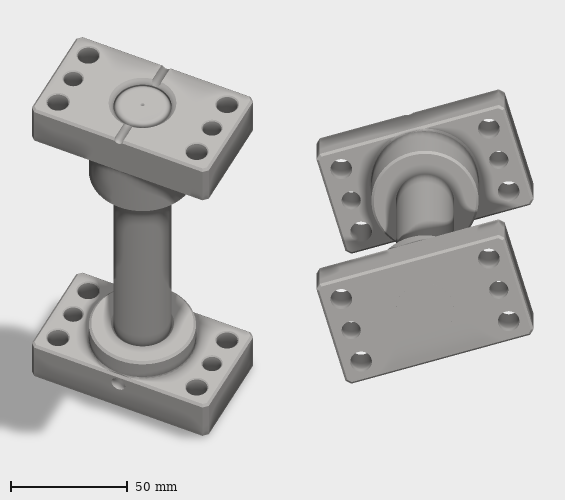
import cadquery as cq

total_height = 170.9
plate_length = 84.0
plate_width = 48.0
plate_thickness = 20.2

corner_chamfer = 2.0
edge_chamfer = 1.0

hole_x = 33.0
hole_y = 15.0
screw_diameter = 9.2
dowel_diameter = 8.2
hole_chamfer = 0.5

pin_diameter = 25.0
pin_top_gap = 1.0
pin_top_fillet = 3.0
centre_mark_diameter = 1.7
centre_mark_depth = 0.9

hub_diameter = plate_width - 2 * edge_chamfer
upper_hub_length = 24.6
lower_hub_length = 9.9
hub_chamfer = 1.0
hub_root_fillet = 0.9

upper_mouth_chamfer = 2.0
lower_mouth_chamfer = 1.0

groove_radius = 2.0

set_screw_diameter = 6.7
set_screw_drop = 5.1

pin_radius = pin_diameter / 2
front_y = -plate_width / 2


def chamfered_hole_cutter(plane, diameter, depth, chamfer):
    """Cylinder along the plane normal from its origin, flared at the origin by the chamfer."""
    radius = diameter / 2
    bore = cq.Workplane(plane).circle(radius).extrude(depth)
    flare = cq.Solid.makeCone(radius + chamfer, radius, chamfer, plane.origin, plane.zDir)
    return bore.union(cq.Workplane(flare))


def make_plate_block():
    """Plate standing on z = 0, with its edges broken."""
    block = cq.Workplane("XY").box(plate_length, plate_width, plate_thickness, centered=(True, True, False))
    return block.edges("|Z").chamfer(corner_chamfer).faces("<Z or >Z").edges().chamfer(edge_chamfer)


def make_hub(length):
    """Hub rising from z = 0: flared root, chamfered end, flare trimmed to the flat of the plate."""
    radius = hub_diameter / 2
    root_radius = radius + hub_root_fillet
    hub = (
        cq.Workplane("XZ")
        .moveTo(0, 0)
        .lineTo(root_radius, 0)
        .radiusArc((radius, hub_root_fillet), hub_root_fillet)
        .lineTo(radius, length - hub_chamfer)
        .lineTo(radius - hub_chamfer, length)
        .lineTo(0, length)
        .close()
        .revolve(360, (0, 0, 0), (0, 1, 0))
    )
    flat = cq.Workplane("XY").box(plate_length, hub_diameter, length, centered=(True, True, False))
    return hub.intersect(flat)


def cut_plate_holes(body, top_z):
    """Six through holes, chamfered at the top face of the plate."""
    for x in (-hole_x, hole_x):
        for y in (-hole_y, 0, hole_y):
            diameter = dowel_diameter if y == 0 else screw_diameter
            plane = cq.Plane(origin=(x, y, top_z), normal=(0, 0, -1))
            body = body.cut(chamfered_hole_cutter(plane, diameter, plate_thickness, hole_chamfer))
    return body


def cut_pin_bore(body, mouth_z, depth, mouth_chamfer):
    """Bore for the pin, running down from its chamfered mouth."""
    plane = cq.Plane(origin=(0, 0, mouth_z), normal=(0, 0, -1))
    return body.cut(chamfered_hole_cutter(plane, pin_diameter, depth, mouth_chamfer))


def make_upper_plate():
    """Plate with its hub hanging below it and a vent groove along Y."""
    underside_z = total_height - plate_thickness
    block = make_plate_block().translate((0, 0, underside_z))
    hub = make_hub(upper_hub_length).mirror("XY").translate((0, 0, underside_z))
    body = cut_plate_holes(block.union(hub), total_height)
    body = cut_pin_bore(body, total_height, plate_thickness + upper_hub_length, upper_mouth_chamfer)
    groove_plane = cq.Plane(origin=(0, front_y, total_height), normal=(0, 1, 0))
    groove = cq.Workplane(groove_plane).circle(groove_radius).extrude(plate_width)
    return body.cut(groove)


def make_lower_plate():
    """Plate with its hub on top and a set-screw hole reaching the pin bore."""
    hub = make_hub(lower_hub_length).translate((0, 0, plate_thickness))
    body = cut_plate_holes(make_plate_block().union(hub), plate_thickness)
    hub_top_z = plate_thickness + lower_hub_length
    body = cut_pin_bore(body, hub_top_z, hub_top_z, lower_mouth_chamfer)
    screw_plane = cq.Plane(origin=(0, front_y, plate_thickness - set_screw_drop), normal=(0, 1, 0))
    set_screw_hole = cq.Workplane(screw_plane).circle(set_screw_diameter / 2).extrude(plate_width / 2)
    return body.cut(set_screw_hole)


def make_pin():
    """Round pin with a rounded top end and a conical centre mark."""
    pin_length = total_height - pin_top_gap
    pin = cq.Workplane("XY").circle(pin_radius).extrude(pin_length)
    pin = pin.faces(">Z").edges().fillet(pin_top_fillet)
    mark = cq.Solid.makeCone(
        centre_mark_diameter / 2, 0, centre_mark_depth, cq.Vector(0, 0, pin_length), cq.Vector(0, 0, -1)
    )
    return pin.cut(cq.Workplane(mark))


upper_plate = make_upper_plate()
lower_plate = make_lower_plate()
pin = make_pin()

result = cq.Compound.makeCompound([
    upper_plate.solids().val(),
    lower_plate.solids().val(),
    pin.solids().val(),
])